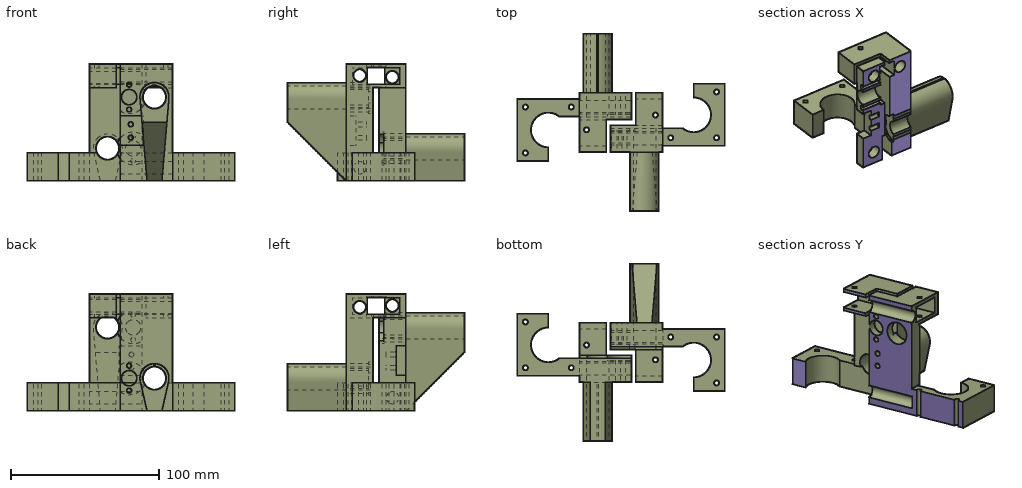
import cadquery as cq
import math

total_length = 140.0
block_width = 35.1
block_depth = 40.2
block_height = 79.0
leg_depth = 18.2
nose_bottom = 63.0

flange_size = 42.0
flange_height = 19.0
flange_back = 36.0
flange_arm = 12.0
pilot_radius = 11.6
motor_screw_pitch = 31.0
screw_diameter = 3.2
screw_radius = screw_diameter / 2
block_left = flange_size
block_right = block_left + block_width
motor_x = flange_size / 2
motor_y = flange_back - flange_size / 2
leg_front = block_depth - leg_depth
arm_front = flange_back - flange_arm

window_front = 4.2
window_back = 25.9
window_bottom = 65.4
window_top = 76.5
nose_screw_inset = 4.8
nose_screw_x = block_left + nose_screw_inset
nose_screw_y = 15.1

rod_diameter = 8.3
rod_radius = rod_diameter / 2
rod_y = 31.1

tube_inset = 12.2
tube_x = block_left + tube_inset
tube_length = 39.8
tube_radius = 9.8
bore_radius = 7.7
web_foot_width = 10.1
slit_width = 1.1

bearing_inset = 5.9
bearing_x = block_right - bearing_inset
seat_radius = 11.0
seat_depth = 3.5
shaft_radius = 5.2
bearing_screw_offset = 8.4

left_tube_z = 22.1
left_rod_heights = [70.0]
right_tube_z = 56.5
right_rod_heights = [71.1, 9.1]

pocket_width = 15.3
pocket_bottom = 24.0
pocket_top = 43.8
pocket_depth = 6.5
pocket_screw_inset = 7.0
pocket_screw_x = block_right - pocket_screw_inset
pocket_screw_heights = [29.3, 38.2]
pocket_screw_depth = 7.0


def box(x0, x1, y0, y1, z0, z1):
    """Axis-aligned box between opposite corners."""
    return cq.Workplane("XY").box(x1 - x0, y1 - y0, z1 - z0, centered=False).translate((x0, y0, z0))


def cylinder_y(x, z, radius, y0, y1):
    """Cylinder along Y from y0 to y1."""
    return cq.Workplane("XZ", origin=(x, y0, z)).circle(radius).extrude(y0 - y1)


def cylinder_x(y, z, radius, x0, x1):
    """Cylinder along X from x0 to x1."""
    return cq.Workplane("YZ", origin=(x0, y, z)).circle(radius).extrude(x1 - x0)


def flange():
    """Motor flange with one open corner, a pilot opening and three screw holes."""
    plate = box(0, block_left, flange_back - flange_size, flange_back, 0, flange_height)
    corner = box(motor_x, block_left, flange_back - flange_size, arm_front, 0, flange_height)
    half_pitch = motor_screw_pitch / 2
    holes = (
        cq.Workplane("XY", origin=(motor_x, motor_y, 0))
        .pushPoints([(-half_pitch, -half_pitch), (-half_pitch, half_pitch), (half_pitch, half_pitch)])
        .circle(screw_radius)
        .extrude(flange_height)
    )
    pilot = cq.Workplane("XY", origin=(motor_x, motor_y, 0)).circle(pilot_radius).extrude(flange_height)
    return plate.cut(corner).cut(pilot).cut(holes)


def block():
    """Leg set back at flange level, with a nose at the top that holds the belt window."""
    leg = box(block_left, block_right, leg_front, block_depth, 0, block_height)
    foot_step = box(block_left, block_right, leg_front, arm_front, 0, flange_height)
    nose = box(block_left, block_left + leg_depth, 0, block_depth, nose_bottom, block_height)
    window = box(block_left, block_right, window_front, window_back, window_bottom, window_top)
    nose_screw = (
        cq.Workplane("XY", origin=(nose_screw_x, nose_screw_y, nose_bottom))
        .circle(screw_radius)
        .extrude(block_height - nose_bottom)
    )
    return leg.cut(foot_step).union(nose).cut(window).cut(nose_screw)


def tube(tube_z):
    """Tube on the back of the leg; its web tapers tangentially down to a narrow foot."""
    half_foot = web_foot_width / 2
    foot_distance = math.hypot(half_foot, tube_z)
    tilt = math.acos(tube_radius / foot_distance) - math.atan2(tube_z, half_foot)
    tangent_x = tube_radius * math.cos(tilt)
    tangent_z = tube_z + tube_radius * math.sin(tilt)
    return (
        cq.Workplane("XZ", origin=(tube_x, block_depth, 0))
        .moveTo(-half_foot, 0)
        .lineTo(half_foot, 0)
        .lineTo(tangent_x, tangent_z)
        .threePointArc((0, tube_z + tube_radius), (-tangent_x, tangent_z))
        .close()
        .extrude(-tube_length)
    )


def bracket(tube_z, rod_heights):
    """Everything the two brackets share, in the position of the left one."""
    body = block().union(flange()).union(tube(tube_z))
    body = body.cut(cylinder_y(tube_x, tube_z, bore_radius, leg_front, block_depth + tube_length))
    body = body.cut(cylinder_y(bearing_x, tube_z, seat_radius, leg_front, leg_front + seat_depth))
    body = body.cut(cylinder_y(bearing_x, tube_z, shaft_radius, leg_front, block_depth))
    for offset in (-bearing_screw_offset, bearing_screw_offset):
        body = body.cut(cylinder_y(bearing_x, tube_z + offset, screw_radius, leg_front, block_depth))
    for rod_z in rod_heights:
        body = body.cut(cylinder_x(rod_y, rod_z, rod_radius, block_left, block_right))
    return body


def left_bracket():
    """Bracket with the low tube, slit along its crown into the bore."""
    slit = box(
        tube_x - slit_width / 2,
        tube_x + slit_width / 2,
        block_depth,
        block_depth + tube_length,
        left_tube_z,
        left_tube_z + tube_radius,
    )
    return bracket(left_tube_z, left_rod_heights).cut(slit)


def right_bracket():
    """Bracket with the high tube, a sloping web underside and a switch pocket, turned half a turn."""
    pocket_left = block_right - pocket_width
    pocket_floor = block_depth - pocket_depth
    screw_end = pocket_floor - pocket_screw_depth
    pocket = box(pocket_left, block_right, pocket_floor, block_depth, pocket_bottom, pocket_top)
    web_corner = (
        cq.Workplane("YZ", origin=(0, block_depth, 0))
        .polyline([(0, 0), (tube_length, 0), (tube_length, tube_length)])
        .close()
        .extrude(total_length)
    )
    body = bracket(right_tube_z, right_rod_heights).cut(pocket).cut(web_corner)
    for screw_z in pocket_screw_heights:
        body = body.cut(cylinder_y(pocket_screw_x, screw_z, screw_radius, screw_end, pocket_floor))
    pivot_x = total_length / 2
    pivot_y = block_depth / 2
    return body.rotate((pivot_x, pivot_y, 0), (pivot_x, pivot_y, 1), 180)


left = left_bracket()
right = right_bracket()

result = cq.Compound.makeCompound([left.val(), right.val()])